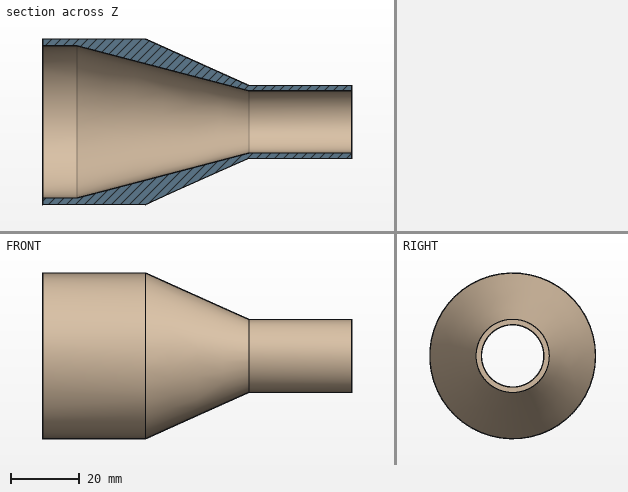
import cadquery as cq

total_length = 90.0
section_length = total_length / 3
wide_outer_diameter = 48.3
wide_bore_diameter = 44.3
narrow_outer_diameter = 21.3
narrow_bore_diameter = 18.1

bore_cone_depth = 10.0

cone_start = -total_length / 2 + section_length
cone_end = cone_start + section_length
bore_cone_start = -total_length / 2 + bore_cone_depth


def stepped_cone(wide_diameter, narrow_diameter, taper_start):
    """Solid of revolution about X: cylinder, cone, then smaller cylinder."""
    wide_radius = wide_diameter / 2
    narrow_radius = narrow_diameter / 2
    half_profile = (
        cq.Workplane("XY")
        .moveTo(-total_length / 2, 0)
        .lineTo(-total_length / 2, wide_radius)
        .lineTo(taper_start, wide_radius)
        .lineTo(cone_end, narrow_radius)
        .lineTo(total_length / 2, narrow_radius)
        .lineTo(total_length / 2, 0)
        .close()
    )
    return half_profile.revolve(360, (0, 0, 0), (1, 0, 0))


outer_body = stepped_cone(wide_outer_diameter, narrow_outer_diameter, cone_start)
bore = stepped_cone(wide_bore_diameter, narrow_bore_diameter, bore_cone_start)
result = outer_body.cut(bore)